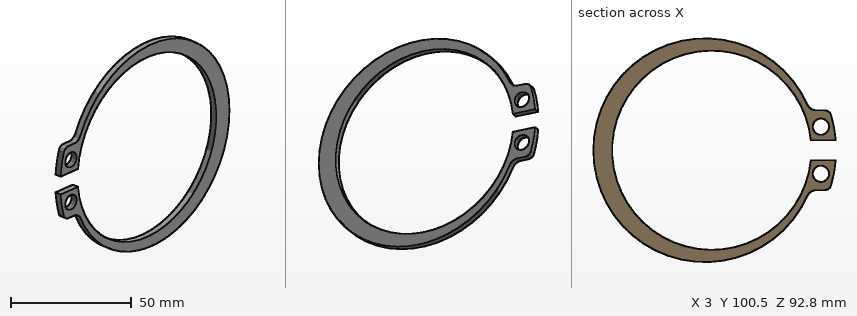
import cadquery as cq

thickness = 3.0
inner_radius = 41.2
outer_radius = 46.39
outer_offset = 2.7
lug_tip_radius = 51.6
lug_half_span = 16.6
gap_width = 8.1
lug_root_fillet = 4.0
lug_tip_fillet = 2.8
hole_diameter = 6.6
hole_y = -45.2
hole_z = 9.7


def disc(radius, center_y=0.0):
    """Disc of the ring's thickness, centred on the plane X = 0."""
    return (
        cq.Workplane("YZ")
        .center(center_y, 0)
        .circle(radius)
        .extrude(thickness / 2, both=True)
    )


def bar(half_height):
    """Block from the ring centre past the lug tips, symmetric about the Y axis."""
    length = lug_tip_radius + thickness
    return cq.Workplane("XY").box(thickness, length, 2 * half_height).translate((0, -length / 2, 0))


def between_y(low, high):
    """Selector for lug edges whose Y position lies between two limits."""
    return cq.selectors.BoxSelector(
        (-thickness, low, -lug_tip_radius),
        (thickness, high, lug_tip_radius),
    )


lugs = disc(lug_tip_radius).intersect(bar(lug_half_span))
blank = disc(outer_radius, outer_offset).union(lugs)

blank = blank.edges("|X").edges(between_y(hole_y, -inner_radius / 2)).fillet(lug_root_fillet)
blank = blank.edges("|X").edges(between_y(-lug_tip_radius, hole_y - hole_diameter / 2)).fillet(lug_tip_fillet)

bore = disc(inner_radius)
gap = bar(gap_width / 2)
plier_holes = (
    cq.Workplane("YZ")
    .pushPoints([(hole_y, hole_z), (hole_y, -hole_z)])
    .circle(hole_diameter / 2)
    .extrude(thickness / 2, both=True)
)

result = blank.cut(bore).cut(gap).cut(plier_holes)